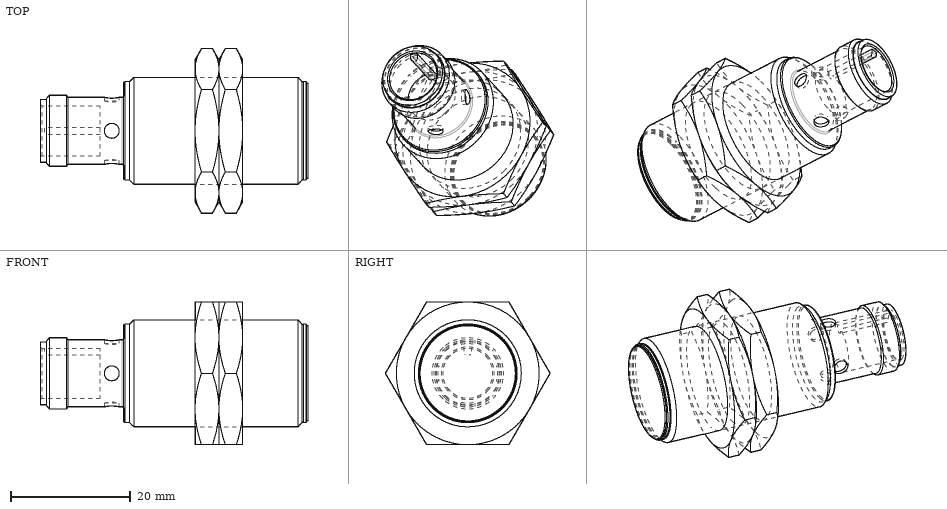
import cadquery as cq
import math

body_length = 45.0

nose_diameter = 10.6
nose_length = 1.0
collar_diameter = 12.0
collar_front_diameter = 10.8
collar_front_chamfer = 0.5
collar_end = 4.4
neck_diameter = 11.3
collar_rear_chamfer = 0.25
neck_fillet = 0.25

flange_start = 14.0
flange_diameter = 16.6
flange_chamfer = 0.2
flange_length = 1.0
barrel_diameter = 18.0
barrel_chamfer = (barrel_diameter - flange_diameter) / 2
barrel_end = 44.0

groove_diameter = 16.5
groove_width = 0.2
rim_diameter = 16.6
rim_chamfer = 0.15
rim_end = 44.75
cap_diameter = 16.0

socket_diameter = 8.4
socket_mouth_diameter = 8.9
socket_mouth_chamfer = (socket_mouth_diameter - socket_diameter) / 2
socket_depth = 10.0

key_width = 1.2
key_tip_height = 3.05
key_start = 0.7
key_corner_radius = 0.45
key_nose_radius = 0.5

window_diameter = 2.5
window_position = 12.0
window_floor_diameter = 10.0
window_count = 4

nut_sides = 6
nut_width = 24.0
nut_thickness = 4.0
nut_chamfer_angle = 30.0
first_nut_start = 26.0
nut_count = 2


def make_outer_shape():
    """Turned outside of the body, as a half profile spun about the X axis."""
    nose_radius = nose_diameter / 2
    collar_radius = collar_diameter / 2
    neck_radius = neck_diameter / 2
    flange_radius = flange_diameter / 2
    barrel_radius = barrel_diameter / 2
    groove_radius = groove_diameter / 2
    rim_radius = rim_diameter / 2
    cap_radius = cap_diameter / 2
    flange_end = flange_start + flange_length
    fillet_drop = neck_fillet * (1 - math.sqrt(0.5))
    profile = (
        cq.Workplane("XY")
        .moveTo(0, 0)
        .lineTo(0, nose_radius)
        .lineTo(nose_length, nose_radius)
        .lineTo(nose_length, collar_front_diameter / 2)
        .lineTo(nose_length + collar_front_chamfer, collar_radius)
        .lineTo(collar_end, collar_radius)
        .lineTo(collar_end + collar_rear_chamfer, neck_radius)
        .lineTo(flange_start - neck_fillet, neck_radius)
        .threePointArc(
            (flange_start - fillet_drop, neck_radius + fillet_drop),
            (flange_start, neck_radius + neck_fillet),
        )
        .lineTo(flange_start, flange_radius - flange_chamfer)
        .lineTo(flange_start + flange_chamfer, flange_radius)
        .lineTo(flange_end, flange_radius)
        .lineTo(flange_end + barrel_chamfer, barrel_radius)
        .lineTo(barrel_end - barrel_chamfer, barrel_radius)
        .lineTo(barrel_end, groove_radius)
        .lineTo(barrel_end + groove_width, groove_radius)
        .lineTo(barrel_end + groove_width, rim_radius)
        .lineTo(rim_end - rim_chamfer, rim_radius)
        .lineTo(rim_end, rim_radius - rim_chamfer)
        .lineTo(rim_end, cap_radius)
        .lineTo(body_length, cap_radius)
        .lineTo(body_length, 0)
        .close()
    )
    return profile.revolve(360, (0, 0, 0), (1, 0, 0))


def make_socket():
    """Round socket with a chamfered mouth."""
    profile = (
        cq.Workplane("XY")
        .moveTo(0, 0)
        .lineTo(0, socket_mouth_diameter / 2)
        .lineTo(socket_mouth_chamfer, socket_diameter / 2)
        .lineTo(socket_depth, socket_diameter / 2)
        .lineTo(socket_depth, 0)
        .close()
    )
    return profile.revolve(360, (0, 0, 0), (1, 0, 0))


def make_key():
    """Rib hanging from the top of the socket, with rounded lower corners and a rounded nose."""
    wall_middle = (socket_diameter + neck_diameter) / 4
    key_length = socket_depth - key_start
    key_height = wall_middle - key_tip_height
    size_centered = (False, True, False)
    section = (
        cq.Workplane("XY", origin=(key_start, 0, key_tip_height))
        .box(key_length, key_width, key_height, centered=size_centered)
        .edges("|X and <Z")
        .fillet(key_corner_radius)
    )
    side_shape = (
        cq.Workplane("XY", origin=(key_start, 0, key_tip_height))
        .box(key_length, key_width, key_height, centered=size_centered)
        .edges("<X and <Z")
        .fillet(key_nose_radius)
    )
    return section.intersect(side_shape)


def make_windows():
    """Radial holes that stop on a round floor concentric with the neck."""
    core = cq.Workplane("YZ").circle(window_floor_diameter / 2).extrude(flange_start)
    windows = cq.Workplane("XY")
    for index in range(window_count):
        drill = (
            cq.Workplane("XY", origin=(window_position, 0, 0))
            .circle(window_diameter / 2)
            .extrude(neck_diameter)
            .rotate((0, 0, 0), (1, 0, 0), index * 360 / window_count)
        )
        windows = windows.add(drill.cut(core))
    return windows.combine()


def make_body():
    """Sensor body with its socket, coding key and windows."""
    body = make_outer_shape().cut(make_socket())
    body = body.union(make_key())
    return body.cut(make_windows())


def make_nut(start):
    """Hexagon nut with flats at top and bottom, chamfered on both faces."""
    corner_diameter = nut_width / math.cos(math.pi / nut_sides)
    corner_height = (corner_diameter - nut_width) / 2
    chamfer_length = corner_height * math.tan(math.radians(nut_chamfer_angle))
    hexagon = cq.Workplane("YZ").polygon(nut_sides, corner_diameter).extrude(nut_thickness)
    envelope = (
        cq.Workplane("YZ")
        .circle(corner_diameter / 2)
        .extrude(nut_thickness)
        .edges()
        .chamfer(chamfer_length, corner_height)
    )
    bore = cq.Workplane("YZ").circle(barrel_diameter / 2).extrude(nut_thickness)
    return hexagon.intersect(envelope).cut(bore).translate((start, 0, 0))


body = make_body()
nuts = [make_nut(first_nut_start + index * nut_thickness) for index in range(nut_count)]
result = cq.Compound.makeCompound([body.val(), *[nut.val() for nut in nuts]])